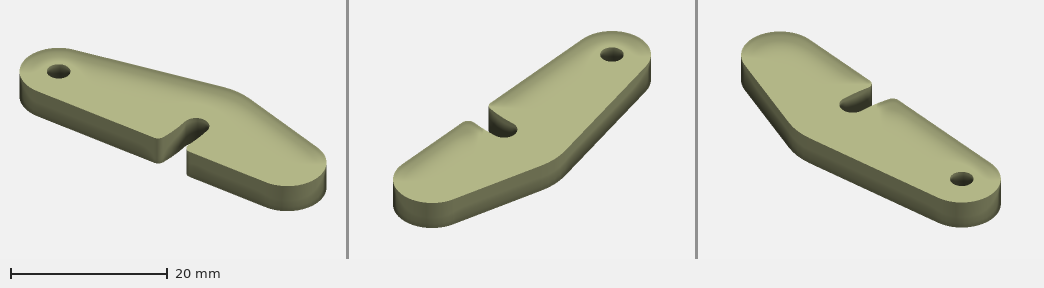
import cadquery as cq
import math

length = 45.0
thickness = 4.0
end_radius = 5.0
crown_radius = 9.0
pivot_hole_diameter = 3.0
slot_distance = 21.0
slot_half_width = 1.7
mouth_radius = 1.0

end_spacing = length - 2 * end_radius
bottom_y = -end_radius
inner_wall_radius = slot_distance - slot_half_width
outer_wall_radius = slot_distance + slot_half_width


def on_circle(center_x, radius, angle):
    """Point at an angle on a circle centred on the X axis."""
    return (center_x + radius * math.cos(angle), radius * math.sin(angle))


def wall_at(wall_radius, y):
    """Point at height y on a slot wall, an arc centred on the pivot."""
    return (math.sqrt(wall_radius**2 - y**2), y)


def make_plate():
    """Two round ends joined to a central crown by tangent lines."""
    rise = crown_radius - end_radius
    left_normal = math.pi / 2 + math.asin(rise / slot_distance)
    right_normal = math.pi / 2 - math.asin(rise / (end_spacing - slot_distance))
    return (
        cq.Workplane("XY")
        .moveTo(0, bottom_y)
        .lineTo(end_spacing, bottom_y)
        .threePointArc((end_spacing + end_radius, 0), on_circle(end_spacing, end_radius, right_normal))
        .lineTo(*on_circle(slot_distance, crown_radius, right_normal))
        .threePointArc((slot_distance, crown_radius), on_circle(slot_distance, crown_radius, left_normal))
        .lineTo(*on_circle(0, end_radius, left_normal))
        .threePointArc((-end_radius, 0), (0, bottom_y))
        .close()
        .extrude(thickness)
    )


def make_slot():
    """Round-ended slot whose walls follow arcs around the pivot."""
    return (
        cq.Workplane("XY")
        .moveTo(*wall_at(inner_wall_radius, bottom_y))
        .threePointArc(wall_at(inner_wall_radius, bottom_y / 2), (inner_wall_radius, 0))
        .threePointArc((slot_distance, slot_half_width), (outer_wall_radius, 0))
        .threePointArc(wall_at(outer_wall_radius, bottom_y / 2), wall_at(outer_wall_radius, bottom_y))
        .close()
        .extrude(thickness)
    )


def round_mouth(body):
    """Round the two corners where the slot opens through the straight edge."""
    for wall_radius in (inner_wall_radius, outer_wall_radius):
        corner = (*wall_at(wall_radius, bottom_y), thickness / 2)
        body = body.edges(cq.NearestToPointSelector(corner)).fillet(mouth_radius)
    return body


pivot_hole = cq.Workplane("XY").circle(pivot_hole_diameter / 2).extrude(thickness)

result = round_mouth(make_plate().cut(make_slot())).cut(pivot_hole)